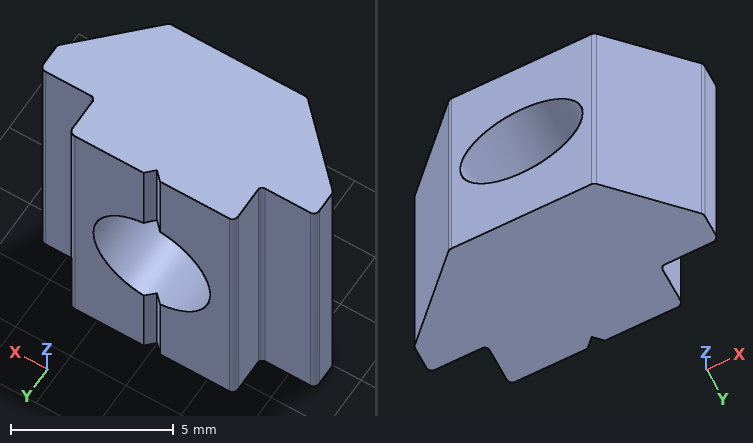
import cadquery as cq

width = 10.0
depth = 5.0
height = 10.0

neck_width = 6.0
neck_depth = 1.5
flange_edge = 1.0
face_width = 5.0
groove_width = 0.6
groove_depth = groove_width / 2

neck_tip_radius = 0.2
neck_root_radius = 0.15
flange_radius = 0.2
bevel_radius = 0.2

hole_diameter = 4.23

front_y = -depth / 2
back_y = depth / 2
shoulder_y = back_y - neck_depth
bevel_y = shoulder_y - flange_edge


def vertical_edges_at(x, y):
    """Select the mirrored pair of vertical edges at (+x, y) and (-x, y)."""
    reach = 0.01
    selector = None
    for side in (-1, 1):
        box = cq.selectors.BoxSelector(
            (side * x - reach, y - reach, -height),
            (side * x + reach, y + reach, height),
        )
        selector = box if selector is None else selector + box
    return selector


def make_body():
    """Extrude the T-slot nut section along Z and round its long edges."""
    half_section = [
        (face_width / 2, front_y),
        (width / 2, bevel_y),
        (width / 2, shoulder_y),
        (neck_width / 2, shoulder_y),
        (neck_width / 2, back_y),
    ]
    mirrored = [(-x, y) for x, y in reversed(half_section)]
    body = (
        cq.Workplane("XY")
        .polyline(half_section + mirrored)
        .close()
        .extrude(height / 2, both=True)
    )
    radii = [bevel_radius, bevel_radius, flange_radius, neck_root_radius, neck_tip_radius]
    for (x, y), radius in zip(half_section, radii):
        body = body.edges(vertical_edges_at(x, y)).fillet(radius)
    return body


def make_groove():
    """V-shaped groove along Z in the middle of the neck face."""
    return (
        cq.Workplane("XY")
        .moveTo(-groove_width / 2, back_y)
        .lineTo(0, back_y - groove_depth)
        .lineTo(groove_width / 2, back_y)
        .close()
        .extrude(height / 2, both=True)
    )


def make_hole():
    """Through hole along Y."""
    return cq.Workplane("XZ", origin=(0, back_y, 0)).circle(hole_diameter / 2).extrude(depth)


result = make_body().cut(make_groove()).cut(make_hole())